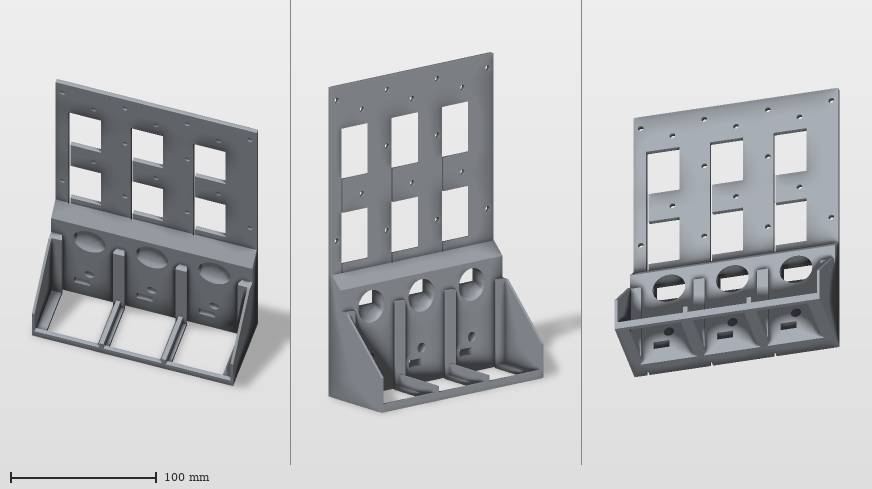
import cadquery as cq


WIDTH = 145.0
DEPTH = 57.0
HEIGHT = 220.0

BAY_COUNT = 3
END_INSET = 5.0
PITCH = (WIDTH - 2 * END_INSET) / BAY_COUNT
POST_LINES = [-WIDTH / 2 + END_INSET + i * PITCH for i in range(BAY_COUNT + 1)]
BAY_CENTRES = [x + PITCH / 2 for x in POST_LINES[:-1]]

PANEL_THICKNESS = 3.0
LEDGE_DEPTH = 4.0
BLOCK_THICKNESS = 13.0
SLOPE_TOP = 87.0
SLOPE_BOTTOM = SLOPE_TOP - (BLOCK_THICKNESS - LEDGE_DEPTH)

POST_HALF_WIDTH = 4.0
POST_NECK_HALF_WIDTH = 2.5
POST_SHOULDER_DEPTH = 16.0
POST_FRONT_DEPTH = 18.0
POST_TOP = 62.5
SIDE_WALL_THICKNESS = 1.9
SIDE_WALL_TOP_DEPTH = 19.1
SIDE_WALL_FRONT_HEIGHT = POST_TOP - (DEPTH - SIDE_WALL_TOP_DEPTH)
FLOOR_THICKNESS = 3.0
FRONT_RAIL_HEIGHT = 5.5
FRONT_RAIL_THICKNESS = 3.0
DIVIDER_THICKNESS = 3.0
DIVIDER_HEIGHT = 10.3

WINDOW_LEFT = -18.5
WINDOW_RIGHT = 5.0
WINDOW_HEIGHT = 36.5
WINDOW_TOPS = [189.5, 129.4]
SLOT_WIDTH = 1.6
SLOT_DEPTH = LEDGE_DEPTH
SCREW_DIAMETER = 4.0
BAY_SCREW_HEIGHTS = [200.0, 140.0]
OUTER_SCREW_HEIGHTS = [210.0, 110.0]
INNER_SCREW_HEIGHTS = [210.0, 170.0, 110.0]

FUNNEL_DIAMETER = 23.0
FUNNEL_HEIGHT = 62.0
FUNNEL_SILL = 60.0
COUNTERBORE_DIAMETER = 7.0
BLOCK_SCREW_HEIGHT = 24.9
PORT_LEFT = -11.0
PORT_WIDTH = 11.5
PORT_BOTTOM = 11.9
PORT_HEIGHT = 5.7


def box(x0, x1, depth0, depth1, z0, z1):
    """Box between two X positions, two depths measured from the back face, and two heights."""
    corner = cq.Workplane("XY", origin=(x0, -depth1, z0))
    return corner.box(x1 - x0, depth1 - depth0, z1 - z0, centered=False)


def cylinder(x, z, diameter, depth0, depth1):
    """Front-to-back cylinder between two depths."""
    plane = cq.Workplane("XZ", origin=(x, -depth0, z))
    return plane.circle(diameter / 2).extrude(depth1 - depth0)


def side_profile(points, x0, x1):
    """Extrude (depth, height) points along X from x0 to x1."""
    outline = [(-depth, z) for depth, z in points]
    return cq.Workplane("YZ", origin=(x0, 0, 0)).polyline(outline).close().extrude(x1 - x0)


def back_wall():
    points = [
        (0, 0),
        (BLOCK_THICKNESS, 0),
        (BLOCK_THICKNESS, SLOPE_BOTTOM),
        (LEDGE_DEPTH, SLOPE_TOP),
        (PANEL_THICKNESS, SLOPE_TOP),
        (PANEL_THICKNESS, HEIGHT),
        (0, HEIGHT),
    ]
    return side_profile(points, -WIDTH / 2, WIDTH / 2)


def side_wall(x0):
    points = [
        (0, 0),
        (DEPTH, 0),
        (DEPTH, SIDE_WALL_FRONT_HEIGHT),
        (SIDE_WALL_TOP_DEPTH, POST_TOP),
        (0, POST_TOP),
    ]
    return side_profile(points, x0, x0 + SIDE_WALL_THICKNESS)


def post_and_floor_strip(x):
    """Post that necks down towards the block, with the floor strip that runs forward from it."""
    half_outline = [
        (POST_NECK_HALF_WIDTH, BLOCK_THICKNESS),
        (POST_HALF_WIDTH, POST_SHOULDER_DEPTH),
        (POST_HALF_WIDTH, POST_FRONT_DEPTH),
    ]
    right = [(x + half, -depth) for half, depth in half_outline]
    left = [(x - half, -depth) for half, depth in reversed(half_outline)]
    post = cq.Workplane("XY").polyline(right + left).close().extrude(POST_TOP)
    strip = box(x - POST_HALF_WIDTH, x + POST_HALF_WIDTH, POST_FRONT_DEPTH, DEPTH, 0, FLOOR_THICKNESS)
    return post.union(strip)


def end_filler(x0, x1):
    """Fills the corner between an outer post and its side wall."""
    post = box(x0, x1, BLOCK_THICKNESS, POST_FRONT_DEPTH, 0, POST_TOP)
    strip = box(x0, x1, POST_FRONT_DEPTH, DEPTH, 0, FLOOR_THICKNESS)
    return post.union(strip)


def divider(x):
    half = DIVIDER_THICKNESS / 2
    return box(x - half, x + half, POST_FRONT_DEPTH, DEPTH, 0, DIVIDER_HEIGHT)


def funnel(x):
    """Round mouth at the front of the block narrowing to a rectangular opening in the back."""
    radius = FUNNEL_DIAMETER / 2
    top = FUNNEL_HEIGHT + radius
    back_opening = box(x - radius, x + radius, 0, PANEL_THICKNESS, FUNNEL_SILL, top)
    centre_rise = (FUNNEL_SILL + top) / 2 - FUNNEL_HEIGHT
    throat = (
        cq.Workplane("XZ", origin=(x, -PANEL_THICKNESS, FUNNEL_HEIGHT))
        .center(0, centre_rise)
        .rect(FUNNEL_DIAMETER, top - FUNNEL_SILL)
        .workplane(offset=BLOCK_THICKNESS - PANEL_THICKNESS)
        .center(0, -centre_rise)
        .circle(radius)
        .loft(ruled=True)
    )
    return back_opening.union(throat)


def window(x, top):
    """Rectangular opening whose right jamb flares outwards at 45 degrees towards the back."""
    outline = [
        (x + WINDOW_LEFT, 0),
        (x + WINDOW_LEFT, -PANEL_THICKNESS),
        (x + WINDOW_RIGHT, -PANEL_THICKNESS),
        (x + WINDOW_RIGHT + PANEL_THICKNESS, 0),
    ]
    plane = cq.Workplane("XY", origin=(0, 0, top - WINDOW_HEIGHT))
    return plane.polyline(outline).close().extrude(WINDOW_HEIGHT)


def bay_openings(x):
    left = x + WINDOW_LEFT
    cuts = box(left, left + SLOT_WIDTH, 0, SLOT_DEPTH, 0, WINDOW_TOPS[0])
    for top in WINDOW_TOPS:
        cuts = cuts.union(window(x, top))
    for z in BAY_SCREW_HEIGHTS:
        cuts = cuts.union(cylinder(x, z, SCREW_DIAMETER, 0, PANEL_THICKNESS))
    cuts = cuts.union(cylinder(x, BLOCK_SCREW_HEIGHT, SCREW_DIAMETER, 0, BLOCK_THICKNESS))
    cuts = cuts.union(cylinder(x, BLOCK_SCREW_HEIGHT, COUNTERBORE_DIAMETER, PANEL_THICKNESS, BLOCK_THICKNESS))
    port_left = x + PORT_LEFT
    port_top = PORT_BOTTOM + PORT_HEIGHT
    cuts = cuts.union(box(port_left, port_left + PORT_WIDTH, 0, BLOCK_THICKNESS, PORT_BOTTOM, port_top))
    return cuts.union(funnel(x))


def frame_parts():
    """Everything that stands in front of the back wall."""
    left = -WIDTH / 2
    right = WIDTH / 2
    parts = [post_and_floor_strip(x) for x in POST_LINES]
    parts += [end_filler(left, POST_LINES[0]), end_filler(POST_LINES[-1], right)]
    parts += [side_wall(left), side_wall(right - SIDE_WALL_THICKNESS)]
    parts.append(box(left, right, DEPTH - FRONT_RAIL_THICKNESS, DEPTH, 0, FRONT_RAIL_HEIGHT))
    parts += [divider(x) for x in POST_LINES[1:-1]]
    return parts


result = back_wall()
for part in frame_parts():
    result = result.union(part)
for bay_x in BAY_CENTRES:
    result = result.cut(bay_openings(bay_x))
for post_x in POST_LINES:
    is_outer = post_x in (POST_LINES[0], POST_LINES[-1])
    screw_heights = OUTER_SCREW_HEIGHTS if is_outer else INNER_SCREW_HEIGHTS
    for screw_z in screw_heights:
        result = result.cut(cylinder(post_x, screw_z, SCREW_DIAMETER, 0, PANEL_THICKNESS))